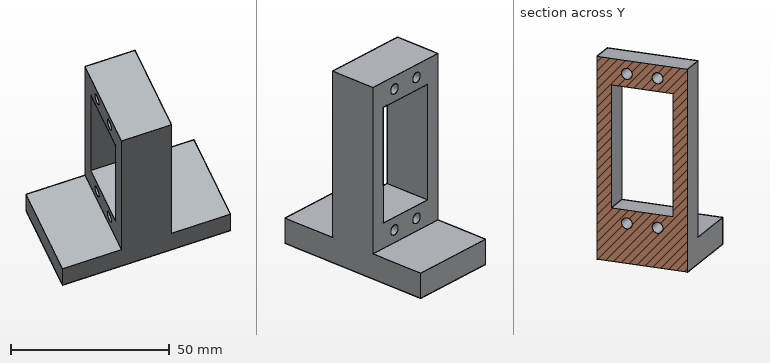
import cadquery as cq

width = 31.0
base_length = 57.0
total_height = 68.0

base_thickness = 9.0
frame_depth = 17.0
frame_height = total_height - base_thickness

window_width = 21.0
window_height = 41.0
frame_center_z = base_thickness + frame_height / 2

hole_diameter = 3.55
hole_spacing_x = window_width / 2
hole_spacing_z = (frame_height + window_height) / 2


def make_body():
    """Inverted T: an upright block standing on the middle of the base plate."""
    base = cq.Workplane("XY").box(width, base_length, base_thickness, centered=(True, True, False))
    frame = cq.Workplane("XY").box(width, frame_depth, total_height, centered=(True, True, False))
    return base.union(frame)


def make_window():
    """Rectangular opening through the full depth of the frame."""
    opening = cq.Workplane("XY").box(window_width, frame_depth, window_height)
    return opening.translate((0, 0, frame_center_z))


def make_screw_holes():
    """Two holes through each bar, running along Y."""
    return (
        cq.Workplane("XZ", origin=(0, 0, frame_center_z))
        .rarray(hole_spacing_x, hole_spacing_z, 2, 2)
        .circle(hole_diameter / 2)
        .extrude(frame_depth / 2, both=True)
    )


result = make_body().cut(make_window()).cut(make_screw_holes())